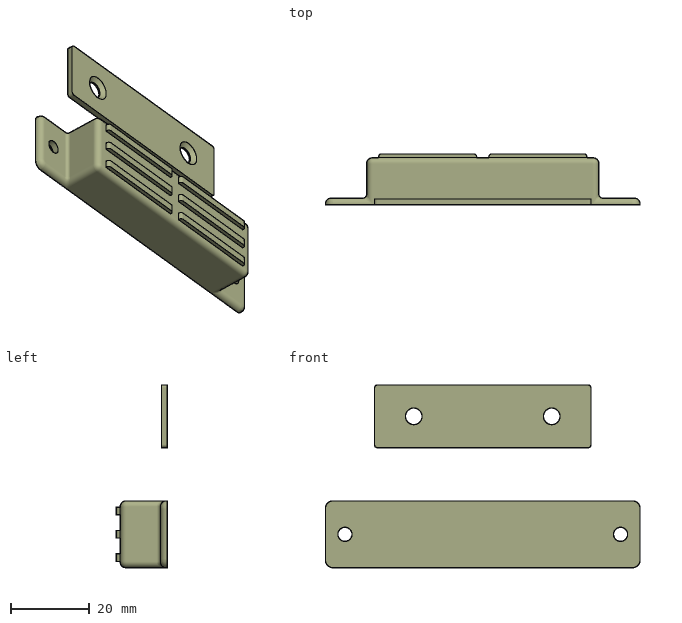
import cadquery as cq

HOUSING_HEIGHT = 17.0
EDGE_RADIUS = 1.5
ROOT_RADIUS = 0.9

FLANGE_LENGTH = 80.0
FLANGE_THICKNESS = 1.8
FLANGE_CORNER_RADIUS = 2.0
FLANGE_HOLE_DIAMETER = 3.5
FLANGE_HOLE_PITCH = 70.0

CASE_LENGTH = 59.0
CASE_DEPTH = 12.0

RIB_LENGTH = 25.0
RIB_WIDTH = 2.0
RIB_HEIGHT = RIB_WIDTH / 2
RIB_END_RADIUS = 0.8
RIB_COLUMN_PITCH = 28.0
RIB_ROW_PITCH = 5.9
RIB_COLUMNS = 2
RIB_ROWS = 3

PLATE_LENGTH = 55.0
PLATE_HEIGHT = 16.0
PLATE_THICKNESS = 1.5
PLATE_CORNER_RADIUS = 0.8
PLATE_HOLE_DIAMETER = 4.2
PLATE_HOLE_PITCH = 35.0
COUNTERSINK_DIAMETER = 6.4
COUNTERSINK_ANGLE = 90.0
TOTAL_HEIGHT = 46.5
PLATE_CENTER_Z = TOTAL_HEIGHT - (HOUSING_HEIGHT + PLATE_HEIGHT) / 2


def rounded_block(length, height, depth, corner_radius):
    """Block centred on X and Z, rising from Y = 0, with its Y edges rounded."""
    block = cq.Workplane("XY").box(length, depth, height, centered=(True, False, True))
    return block.edges("|Y").fillet(corner_radius)


def hole_pair(body, face, pitch):
    """Place two hole centres on a face, spaced symmetrically about X = 0."""
    return body.faces(face).workplane(origin=(0, 0, 0)).rarray(pitch, 0.8, 2, 1)


def make_flange():
    flange = rounded_block(FLANGE_LENGTH, HOUSING_HEIGHT, FLANGE_THICKNESS, FLANGE_CORNER_RADIUS)
    return flange.faces(">Y").edges().fillet(EDGE_RADIUS)


def make_case():
    case = rounded_block(CASE_LENGTH, HOUSING_HEIGHT, CASE_DEPTH, EDGE_RADIUS)
    return case.faces(">Y").edges().fillet(EDGE_RADIUS)


def fillet_case_roots(housing):
    """Fill the inside corner between the flange and each end of the case."""
    margin = EDGE_RADIUS / 10
    outer_x = CASE_LENGTH / 2 + margin
    inner_x = CASE_LENGTH / 2 - EDGE_RADIUS - margin
    front_y = (FLANGE_THICKNESS - EDGE_RADIUS) / 2
    rear_y = FLANGE_THICKNESS + margin
    for side in (-1, 1):
        root_zone = cq.selectors.BoxSelector(
            (side * inner_x, front_y, -HOUSING_HEIGHT),
            (side * outer_x, rear_y, HOUSING_HEIGHT),
            boundingbox=True,
        )
        housing = housing.edges(root_zone).fillet(ROOT_RADIUS)
    return housing


def make_ribs():
    """Grid of straight ribs whose ends are rounded on the rear side."""
    return (
        cq.Workplane("XZ", origin=(0, CASE_DEPTH, 0))
        .rarray(RIB_COLUMN_PITCH, RIB_ROW_PITCH, RIB_COLUMNS, RIB_ROWS)
        .rect(RIB_LENGTH, RIB_WIDTH)
        .extrude(-RIB_HEIGHT)
        .faces(">Y")
        .edges("|Z")
        .fillet(RIB_END_RADIUS)
    )


def make_housing():
    housing = fillet_case_roots(make_flange().union(make_case()))
    housing = housing.union(make_ribs())
    return hole_pair(housing, "<Y", FLANGE_HOLE_PITCH).hole(FLANGE_HOLE_DIAMETER)


def make_plate():
    """Flat plate with two holes countersunk from the rear."""
    plate = rounded_block(PLATE_LENGTH, PLATE_HEIGHT, PLATE_THICKNESS, PLATE_CORNER_RADIUS)
    plate = hole_pair(plate, ">Y", PLATE_HOLE_PITCH).cskHole(
        PLATE_HOLE_DIAMETER, COUNTERSINK_DIAMETER, COUNTERSINK_ANGLE
    )
    return plate.translate((0, 0, PLATE_CENTER_Z))


housing = make_housing()
plate = make_plate()

result = cq.Compound.makeCompound([housing.solids().val(), plate.solids().val()])